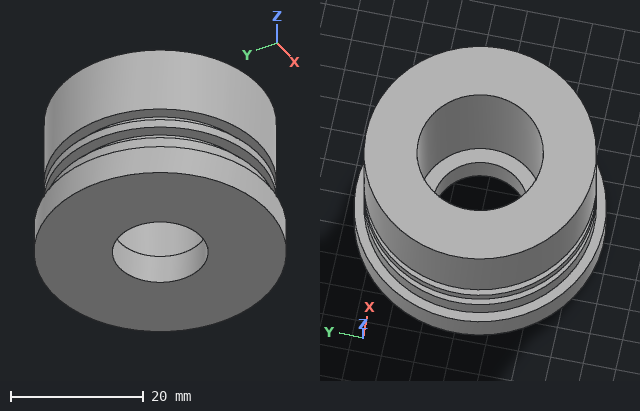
import cadquery as cq

height = 25.0
flange_diameter = 38
flange_height = 5.0
body_diameter = 35.0

groove_diameter = 31.2
groove_width = 2.05
rib_width = 1.45
lower_groove_bottom = 7.98
upper_groove_bottom = lower_groove_bottom + groove_width + rib_width

through_diameter = 14.4
bore_diameter = 19
bore_floor = flange_height


def cylinder(diameter, bottom, top):
    """Solid cylinder on the Z axis between two heights."""
    return cq.Workplane("XY").workplane(offset=bottom).circle(diameter / 2).extrude(top - bottom)


def groove_ring(bottom):
    """Ring of material removed from the body to form one groove."""
    top = bottom + groove_width
    return cylinder(body_diameter, bottom, top).cut(cylinder(groove_diameter, bottom, top))


result = cylinder(flange_diameter, 0, flange_height)
result = result.union(cylinder(body_diameter, flange_height, height))

for groove_bottom in (lower_groove_bottom, upper_groove_bottom):
    result = result.cut(groove_ring(groove_bottom))

result = result.cut(cylinder(through_diameter, 0, height))
result = result.cut(cylinder(bore_diameter, bore_floor, height))